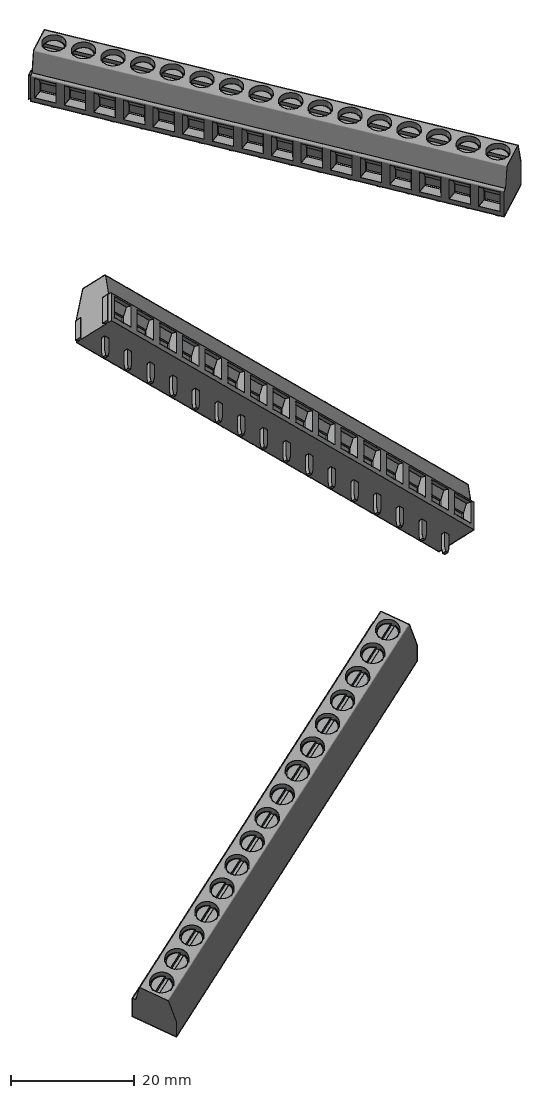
import cadquery as cq

total_length = 81.8
depth = 8.2
body_height = 10.05
pin_length = 3.8
lug_reach = 0.515
module_poles = (3, 2, 3, 3, 2, 3)
pole_count = sum(module_poles)
pitch = (total_length - lug_reach) / pole_count

ledge_height = 5.7
ledge_depth = 0.65
ledge_rounding = 0.25
back_wall_height = 4.75
top_front = 1.4
top_back = 6.7
top_rounding = 0.29

lug_tip_width = 1.2
lug_root_width = 0.4
lug_edge_gap = 0.3
front_lug_height = 5.2
back_lug_height = 3.9

screw_y = depth / 2
screw_radius = 2.0
screw_recess = 1.0
screw_chamfer = 0.25
slot_width = 0.7
slot_depth = 0.7

opening_width = 3.7
opening_bottom = 1.0
opening_top = 5.2
opening_taper = 0.5
funnel_depth = 1.2
clamp_edge_height = 3.4
clamp_top_depth = 0.7
clamp_recess = 0.3

pin_width = 1.0
pin_thickness = 0.7
pin_tip_width = 0.5
pin_tip_length = 1.0
pin_y = depth / 2


def housing_module(first_pole, poles):
    """One housing block with a stepped front, sloping sides and rounded upper edges."""
    profile = [
        (0, 0),
        (depth, 0),
        (depth, back_wall_height),
        (top_back, body_height),
        (top_front, body_height),
        (ledge_depth, ledge_height),
        (0, ledge_height),
    ]
    start = lug_reach + first_pole * pitch
    block = cq.Workplane("YZ", origin=(start, 0, 0)).polyline(profile).close().extrude(poles * pitch)
    block = block.faces(">Z").edges("|X").fillet(top_rounding)
    return block.faces("<Y").edges(">Z").fillet(ledge_rounding)


def dovetail_lug(center_y, height):
    """Upright lug on the left end, wider at its tip than at its root."""
    outline = [
        (0, center_y - lug_tip_width / 2),
        (lug_reach, center_y - lug_root_width / 2),
        (lug_reach, center_y + lug_root_width / 2),
        (0, center_y + lug_tip_width / 2),
    ]
    return cq.Workplane("XY").polyline(outline).close().extrude(height)


def screw_well_cut(x):
    """Round well that leaves a slotted screw head with a chamfered rim at its floor."""
    head_top = body_height - screw_recess
    rim_base = head_top - screw_chamfer

    def disc(bottom, height):
        return cq.Workplane("XY", origin=(x, screw_y, bottom)).circle(screw_radius).extrude(height)

    head = cq.Workplane("XY", origin=(x, screw_y, rim_base)).circle(screw_radius)
    head = head.workplane(offset=screw_chamfer).circle(screw_radius - screw_chamfer).loft()
    well = disc(rim_base, screw_recess + screw_chamfer).cut(head)
    slot = cq.Workplane("XY", origin=(x, screw_y, head_top - slot_depth))
    slot = slot.rect(2 * screw_radius, slot_width).extrude(slot_depth)
    return well.union(slot.intersect(disc(head_top - slot_depth, slot_depth)))


def wire_opening_cut(x):
    """Funnel narrowing on both sides and at the floor, with a sloping clamp face above a deeper recess."""
    inner_bottom = opening_bottom + opening_taper
    inner_width = opening_width - 2 * opening_taper
    side = [
        (0, opening_bottom),
        (funnel_depth, inner_bottom),
        (funnel_depth, clamp_edge_height),
        (clamp_top_depth, opening_top),
        (0, opening_top),
    ]
    plan = [
        (x - opening_width / 2, 0),
        (x + opening_width / 2, 0),
        (x + inner_width / 2, funnel_depth),
        (x - inner_width / 2, funnel_depth),
    ]
    funnel = cq.Workplane("YZ", origin=(x, 0, 0)).polyline(side).close()
    funnel = funnel.extrude(opening_width / 2, both=True)
    funnel = funnel.intersect(cq.Workplane("XY").polyline(plan).close().extrude(body_height))
    recess = cq.Workplane("XY", origin=(x - inner_width / 2, funnel_depth, inner_bottom))
    recess = recess.box(inner_width, clamp_recess, clamp_edge_height - inner_bottom, centered=False)
    return funnel.union(recess)


def solder_pin(x):
    """Flat pin below the housing, tapering to a narrower tip."""
    outline = [
        (x - pin_width / 2, 0),
        (x - pin_width / 2, pin_tip_length - pin_length),
        (x - pin_tip_width / 2, -pin_length),
        (x + pin_tip_width / 2, -pin_length),
        (x + pin_width / 2, pin_tip_length - pin_length),
        (x + pin_width / 2, 0),
    ]
    pin = cq.Workplane("XZ", origin=(0, pin_y, 0)).polyline(outline).close()
    return pin.extrude(pin_thickness / 2, both=True)


result = cq.Workplane("XY")
poles_placed = 0
for poles in module_poles:
    result = result.union(housing_module(poles_placed, poles), clean=False)
    poles_placed += poles

lug_offset = lug_edge_gap + lug_tip_width / 2
result = result.union(dovetail_lug(lug_offset, front_lug_height), clean=False)
result = result.union(dovetail_lug(depth - lug_offset, back_lug_height), clean=False)

for pole in range(pole_count):
    pole_x = lug_reach + (pole + 0.5) * pitch
    result = result.cut(screw_well_cut(pole_x), clean=False)
    result = result.cut(wire_opening_cut(pole_x), clean=False)
    result = result.union(solder_pin(pole_x), clean=False)